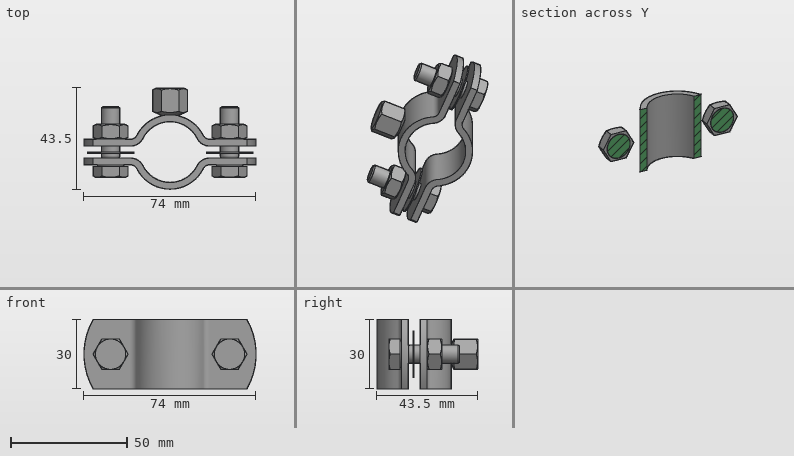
import cadquery as cq
import math


overall_length = 74.0
strap_width = 30.0
strap_gap = 5.0
ring_outer_diameter = 32.0
ring_inner_diameter = 26.0
bend_start_x = 17.0
end_round_radius = 30.0

bolt_x = 25.5
shank_diameter = 8.0
shank_tip_diameter = 6.65
shank_tip_y = 19.5
runout_diameter = 7.3
runout_start_y = -1.8
runout_length = 1.1
head_collar_diameter = 11.4
head_collar_height = 0.6
head_height = 4.7

hex_flats = 13.0
nut_height = 6.5
nut_face_diameter = 12.1
corner_chamfer_angle = 30.0
washer_diameter = 20.0
washer_thickness = 0.5

connection_end_y = 27.45
connection_shoulder_y = 17.5
connection_cone_angle = 25.0
weld_depth = 0.75

half_length = overall_length / 2
ring_outer_radius = ring_outer_diameter / 2
ring_inner_radius = ring_inner_diameter / 2
strap_thickness = ring_outer_radius - ring_inner_radius
strap_inner_y = strap_gap / 2
strap_outer_y = strap_inner_y + strap_thickness
hex_corner_radius = hex_flats / math.sqrt(3)
head_under_y = -strap_outer_y - head_collar_height
head_end_y = head_under_y - head_height

bend_radius = (bend_start_x**2 + strap_outer_y**2 - ring_outer_radius**2) / (
    2 * (ring_outer_radius - strap_outer_y)
)
bend_center = (bend_start_x, strap_outer_y + bend_radius)
bend_end_angle = math.atan2(bend_center[1], bend_center[0])


def polar(radius, angle, center):
    return (center[0] + radius * math.cos(angle), center[1] + radius * math.sin(angle))


def mirrored(point):
    return (-point[0], point[1])


def bend_points(radius):
    """Middle and ring end of a bend arc that starts at the flat flange."""
    flange_angle = -math.pi / 2
    ring_angle = bend_end_angle - math.pi
    middle = polar(radius, (flange_angle + ring_angle) / 2, bend_center)
    return middle, polar(radius, ring_angle, bend_center)


def make_strap():
    """Upper strap: flat flanges joined by a ring arc through two bends."""
    outer_middle, outer_end = bend_points(bend_radius)
    inner_middle, inner_end = bend_points(bend_radius + strap_thickness)
    strap = (
        cq.Workplane("XY")
        .moveTo(half_length, strap_inner_y)
        .lineTo(half_length, strap_outer_y)
        .lineTo(bend_start_x, strap_outer_y)
        .threePointArc(outer_middle, outer_end)
        .threePointArc((0, ring_outer_radius), mirrored(outer_end))
        .threePointArc(mirrored(outer_middle), (-bend_start_x, strap_outer_y))
        .lineTo(-half_length, strap_outer_y)
        .lineTo(-half_length, strap_inner_y)
        .lineTo(-bend_start_x, strap_inner_y)
        .threePointArc(mirrored(inner_middle), mirrored(inner_end))
        .threePointArc((0, ring_inner_radius), inner_end)
        .threePointArc(inner_middle, (bend_start_x, strap_inner_y))
        .close()
        .extrude(strap_width / 2, both=True)
    )
    return strap.intersect(make_rounded_blank())


def make_rounded_blank():
    """Block along Y whose two X ends are rounded in the XZ plane."""
    half_width = strap_width / 2
    end_sagitta = end_round_radius - math.sqrt(end_round_radius**2 - half_width**2)
    corner_x = half_length - end_sagitta
    return (
        cq.Workplane("XZ")
        .moveTo(-corner_x, -half_width)
        .lineTo(corner_x, -half_width)
        .threePointArc((half_length, 0), (corner_x, half_width))
        .lineTo(-corner_x, half_width)
        .threePointArc((-half_length, 0), (-corner_x, -half_width))
        .close()
        .extrude(ring_outer_radius, both=True)
    )


def turned(profile):
    """Solid of revolution about Y; the profile lists (radius, y) from one end to the other."""
    points = [(0, profile[0][1]), *profile, (0, profile[-1][1])]
    return cq.Workplane("XY").polyline(points).close().revolve(360, (0, 0), (0, 1))


def hexagonal(profile):
    """Hexagonal bar along Y, corners towards +X and -X, trimmed by a turned envelope."""
    start_y = profile[0][1]
    length = profile[-1][1] - start_y
    bar = (
        cq.Workplane("XZ", origin=(0, start_y, 0))
        .polygon(6, 2 * hex_corner_radius)
        .extrude(-length)
    )
    return bar.intersect(turned(profile))


def corner_drop(face_radius):
    """Length along Y over which a corner chamfer grows from face_radius to the hex corner."""
    return (hex_corner_radius - face_radius) * math.tan(math.radians(corner_chamfer_angle))


def make_shank():
    radius = shank_diameter / 2
    tip_radius = shank_tip_diameter / 2
    runout_radius = runout_diameter / 2
    return turned(
        [
            (runout_radius, runout_start_y - runout_length),
            (radius, runout_start_y),
            (radius, shank_tip_y - (radius - tip_radius)),
            (tip_radius, shank_tip_y),
        ]
    )


def make_head():
    face_radius = hex_flats / 2
    collar_radius = head_collar_diameter / 2
    collar = turned([(collar_radius, head_under_y), (collar_radius, -strap_outer_y)])
    head = hexagonal(
        [
            (face_radius, head_end_y),
            (hex_corner_radius, head_end_y + corner_drop(face_radius)),
            (hex_corner_radius, head_under_y),
        ]
    )
    return head.union(collar)


def make_nut():
    face_radius = nut_face_diameter / 2
    drop = corner_drop(face_radius)
    nut_top_y = strap_outer_y + nut_height
    return hexagonal(
        [
            (face_radius, strap_outer_y),
            (hex_corner_radius, strap_outer_y + drop),
            (hex_corner_radius, nut_top_y - drop),
            (face_radius, nut_top_y),
        ]
    )


def make_washer():
    radius = washer_diameter / 2
    return turned([(radius, -washer_thickness), (radius, 0)])


def make_connection_nut():
    """Long hex nut whose tapered foot runs into the crown of the ring."""
    face_radius = nut_face_diameter / 2
    foot_y = ring_outer_radius - weld_depth
    taper = (connection_shoulder_y - foot_y) / math.tan(math.radians(connection_cone_angle))
    return hexagonal(
        [
            (hex_corner_radius - taper, foot_y),
            (hex_corner_radius, connection_shoulder_y),
            (hex_corner_radius, connection_end_y - corner_drop(face_radius)),
            (face_radius, connection_end_y),
        ]
    )


upper_strap = make_strap()
lower_strap = upper_strap.mirror("XZ")
fastener_parts = (make_shank(), make_washer(), make_nut(), make_head())

result = upper_strap.union(lower_strap).union(make_connection_nut())
for side in (-1, 1):
    for fastener_part in fastener_parts:
        result = result.union(fastener_part.translate((side * bolt_x, 0, 0)))